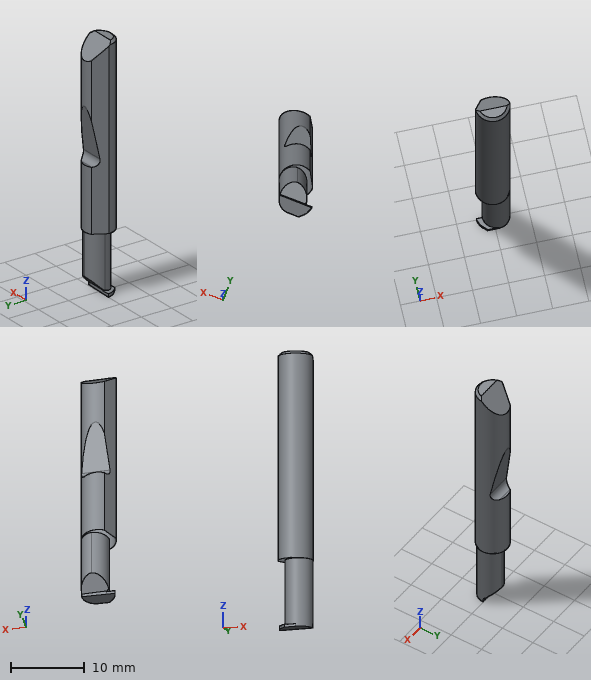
import cadquery as cq
import math


shank_radius = 2.38
overall_length = 38.1
neck_length = 9.55
end_chamfer = 0.4
flat_distance = 2.06
flat_direction = 150
bevel_start_y = -0.6

notch_floor_z = 19.55
notch_top_z = 28.3
notch_angle = 10
notch_corner_radius = 1.0

neck_radius = 1.92
neck_center_x = shank_radius - neck_radius
neck_left_x = neck_center_x - neck_radius
neck_back_radius = 2.2
neck_clearance_z = 0.6

tip_x = -2.25
tip_thickness = 0.5
tip_flank_x = -1.65
tip_flank_y = -1.36
tip_corner_x = -1.1
tip_flank_bulge = 0.12
bottom_clearance_angle = 1.8

relief_top_z = 0.78
relief_depth_x = 0.46
relief_end_y = -0.75

oversize = 10.0


def make_shank():
    """Round shank with a flat, a bevelled end and a clamping notch."""
    shank = (
        cq.Workplane("XY", origin=(0, 0, neck_length))
        .circle(shank_radius)
        .extrude(overall_length - neck_length)
        .faces(">Z")
        .chamfer(end_chamfer)
    )
    return shank.cut(flat_cutter()).cut(bevel_cutter()).cut(notch_cutter())


def flat_cutter():
    """Block beyond the locating flat that runs along the whole shank."""
    block = cq.Workplane("XY").box(oversize, oversize, overall_length, centered=(False, True, False))
    return block.translate((flat_distance, 0, 0)).rotate((0, 0, 0), (0, 0, 1), flat_direction)


def bevel_cutter():
    """45 degree wedge across the +Y side of the shank's end."""
    return (
        cq.Workplane("YZ", origin=(-oversize / 2, 0, 0))
        .moveTo(bevel_start_y, overall_length)
        .lineTo(bevel_start_y + oversize, overall_length)
        .lineTo(bevel_start_y + oversize, overall_length - oversize)
        .close()
        .extrude(oversize)
    )


def notch_cutter():
    """Sloping notch with a square shoulder and a rounded inner corner."""
    depth = (notch_top_z - notch_floor_z) * math.tan(math.radians(notch_angle))
    corner_y = shank_radius - depth
    return (
        cq.Workplane("YZ", origin=(-oversize / 2, 0, 0))
        .moveTo(shank_radius, notch_top_z)
        .lineTo(corner_y, notch_floor_z)
        .lineTo(shank_radius, notch_floor_z)
        .close()
        .extrude(oversize)
        .edges(cq.selectors.NearestToPointSelector((0, corner_y, notch_floor_z)))
        .fillet(notch_corner_radius)
    )


def make_neck():
    """Round neck with a flatter +Y half and a 45 degree clearance at its lower end."""
    neck = cq.Workplane("XY").center(neck_center_x, 0).circle(neck_radius).extrude(neck_length)
    neck = neck.cut(neck_back_cutter())
    clearance = (
        cq.Workplane("YZ", origin=(-oversize / 2, 0, 0))
        .moveTo(0, 0)
        .lineTo(0, neck_clearance_z)
        .lineTo(oversize, neck_clearance_z + oversize)
        .lineTo(oversize, 0)
        .close()
        .extrude(oversize)
    )
    return neck.cut(clearance).cut(relief_cutter())


def neck_back_cutter():
    """Material outside the flatter arc, from the -X edge of the neck over its +Y half."""
    center_y = neck_radius - neck_back_radius
    center_x = neck_left_x + math.sqrt(neck_back_radius**2 - center_y**2)
    half_block = cq.Workplane("XY").box(oversize, oversize, neck_length, centered=(True, False, False))
    back_arc = cq.Workplane("XY").center(center_x, center_y).circle(neck_back_radius).extrude(neck_length)
    return half_block.cut(back_arc)


def relief_cutter():
    """Space below the oblique plane that undercuts the neck beside the tip."""
    high_point = cq.Vector(neck_left_x, 0, relief_top_z)
    inner_point = cq.Vector(neck_left_x + relief_depth_x, 0, tip_thickness)
    end_x = neck_center_x - math.sqrt(neck_radius**2 - relief_end_y**2)
    end_point = cq.Vector(end_x, relief_end_y, tip_thickness)
    normal = (inner_point - high_point).cross(end_point - high_point)
    if normal.z > 0:
        normal = normal * -1
    plane = cq.Plane(origin=high_point, normal=normal)
    return cq.Workplane(plane).rect(oversize, oversize).extrude(oversize)


def make_tip():
    """Plate that carries the cutting point and fills the -Y half of the neck."""
    chord_x = tip_flank_x - tip_x
    chord_y = tip_flank_y
    chord = math.hypot(chord_x, chord_y)
    flank_mid_x = (tip_x + tip_flank_x) / 2 + tip_flank_bulge * chord_y / chord
    flank_mid_y = tip_flank_y / 2 - tip_flank_bulge * chord_x / chord
    return (
        cq.Workplane("XY")
        .moveTo(tip_x, 0)
        .threePointArc((flank_mid_x, flank_mid_y), (tip_flank_x, tip_flank_y))
        .lineTo(tip_corner_x, -neck_radius)
        .lineTo(neck_center_x, -neck_radius)
        .radiusArc((shank_radius, 0), -neck_radius)
        .close()
        .extrude(tip_thickness)
    )


def bottom_cutter():
    """Space below the underside, which rises toward +X and -Y from the cutting point."""
    slope = math.tan(math.radians(bottom_clearance_angle))
    plane = cq.Plane(origin=(tip_x, 0, 0), normal=(slope, -slope, -1))
    return cq.Workplane(plane).rect(oversize, oversize).extrude(oversize)


result = make_shank().union(make_neck()).union(make_tip()).cut(bottom_cutter())